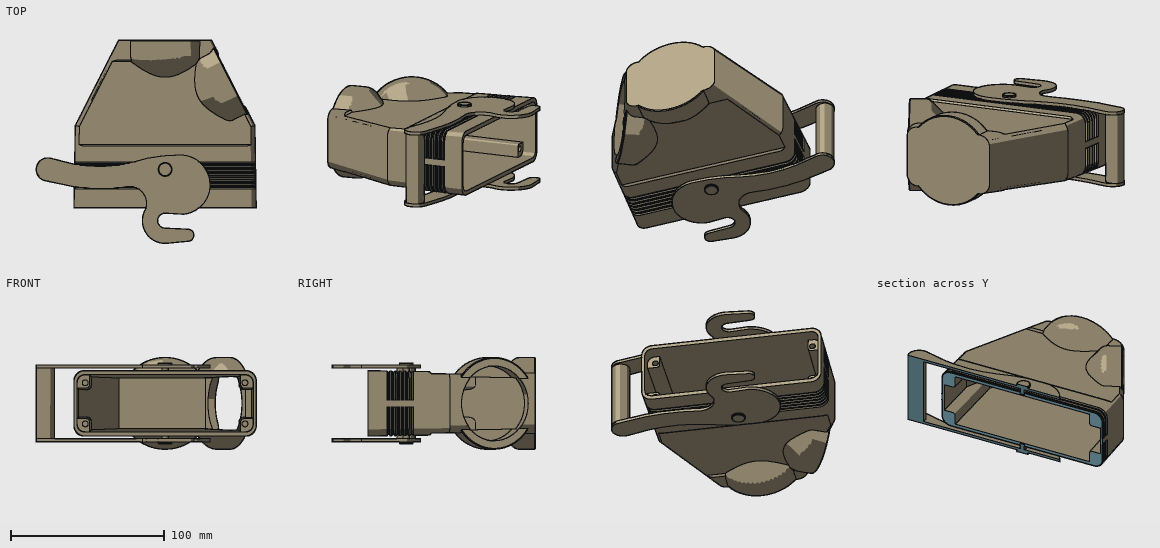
import cadquery as cq
import math

HOUSING_LENGTH = 109.25
MOUTH_HALF_X = 59.5
MOUTH_HALF_Z = 21.4
OUTER_DRAFT = 0.9
CORNER_RADIUS = 6.7
SHOULDER_Y = 53.6
SHOULDER_HALF_X = MOUTH_HALF_X - SHOULDER_Y * math.tan(math.radians(OUTER_DRAFT))
TOP_HALF_X = 30.4
SLOPE_RUN = SHOULDER_HALF_X - TOP_HALF_X
SLOPE_RISE = HOUSING_LENGTH - SHOULDER_Y
SLOPE_ANGLE = math.atan2(SLOPE_RUN, SLOPE_RISE)

RECESS_START_Y = 40.2
RECESS_END_Y = 96.5
RECESS_RAMP = 1.2
RECESS_DEPTH = 1.3

GROOVE_COUNT = 6
GROOVE_PITCH = 3.03
FIRST_GROOVE_Y = 12.4
GROOVE_DEPTH = 0.8
GROOVE_SIDE_ANGLE = 45
GROOVE_FLOOR = 0.6
GROOVE_GAP_HALF_Z = 2.3

BOSS_RADIUS = 30.0
BOSS_CONE_START = 12.9
BOSS_CONE_TIP_RADIUS = 17.0
BOSS_EDGE_RADIUS = 6.1
BOSS_CHAMFER = 0.6
SIDE_BOSS_OFFSET = 1.6
SIDE_BOSS_SETBACK = 0.8
CABLE_HOLE_RADIUS = 24.4

CAVITY_HALF_X = 57.5
CAVITY_HALF_Z = 18.7
CAVITY_CORNER_RADIUS = 5.0
CAVITY_DRAFT = 1.2
END_WALL = 4.0
PLAIN_SHOULDER_WALL = 2.0
BORED_SHOULDER_WALL = 5.4
LEDGE_Y = 54.0

POST_FRONT_Y = 9.0
POST_INNER_X = 49.3
POST_INNER_Z = 10.0
POST_EDGE_RADIUS = 2.0
POST_SIZE = 14.0
SCREW_X = 52.1
SCREW_Z = 13.4
SCREW_HOLE_RADIUS = 1.9
SCREW_HOLE_DEPTH = 12.0

PIVOT_Y = 25.0
PLATE_INNER_Z = 23.0
PLATE_THICKNESS = 2.1
PLATE_OUTER_Z = PLATE_INNER_Z + PLATE_THICKNESS
PIN_RADIUS = 2.15
PIN_END_Z = 19.5
PIN_HEAD_RADIUS = 4.5
PIN_HEAD_HEIGHT = 1.3
PIN_HEAD_CHAMFER = 0.4
GRIP_RADIUS = 6.0
GRIP_X = -78.1
HANDLE_END_RADIUS = 7.6
HANDLE_END = (-76.5, PIVOT_Y)
CAM_CENTRE = (10.0, 15.0)
CAM_RADIUS = 19.4
HOOK_CENTRE = (0.0, -8.4)
HOOK_RADIUS = 14.9
SLOT_RADIUS = 4.8
HOOK_TIP_CENTRE = (14.8, -17.9)
HOOK_TIP_RADIUS = 4.0
UPPER_EDGE_START = (-59.8, 28.6)
UPPER_EDGE_DIP = (-43.6, 26.9)
UPPER_EDGE_TURN = (-21.3, 29.7)
UPPER_EDGE_SHOULDER = (-8.3, 32.9)
LOWER_EDGE_START = (-59.8, 13.7)
LOWER_EDGE_DIP = (-42.5, 12.4)
LOWER_EDGE_TURN = (-23.0, 13.8)
HOOK_NECK = (-13.7, 8.6)
HANDLE_END_ARC = (76, 180, 257)
CAM_ARC = (93, 0, -84)
SLOT_ARC = (90, 180, 270)
HOOK_TIP_ARC = (85, 0, -84)
HOOK_ARC = (-88, 210, 148)

BIG = 200.0


def on_circle(centre, radius, degrees):
    angle = math.radians(degrees)
    return (centre[0] + radius * math.cos(angle), centre[1] + radius * math.sin(angle))


def section_at(y):
    """Workplane across the housing at the given Y, extruding toward +Y."""
    return cq.Workplane(cq.Plane(origin=(0, y, 0), xDir=(1, 0, 0), normal=(0, 1, 0)))


def outer_half_sizes(y):
    lean = y * math.tan(math.radians(OUTER_DRAFT))
    return MOUTH_HALF_X - lean, MOUTH_HALF_Z - lean


def shoulder_x(y, wall):
    """X of the shoulder line at the given Y, moved inward by a wall thickness."""
    return TOP_HALF_X + (HOUSING_LENGTH - y) * math.tan(SLOPE_ANGLE) - wall / math.cos(SLOPE_ANGLE)


def shoulder_y(x, wall):
    """Y of the shoulder line at the given X, moved inward by a wall thickness."""
    return HOUSING_LENGTH - (x - TOP_HALF_X + wall / math.cos(SLOPE_ANGLE)) / math.tan(SLOPE_ANGLE)


def prism(outline):
    return cq.Workplane("XY").polyline(outline).close().extrude(BIG, both=True)


def make_shell_blank():
    """Drafted block with sloping shoulders and rounded long edges, not yet hollow."""
    block = section_at(0).rect(2 * MOUTH_HALF_X, 2 * MOUTH_HALF_Z)
    block = block.extrude(HOUSING_LENGTH, taper=OUTER_DRAFT)
    foot = (MOUTH_HALF_X, shoulder_y(MOUTH_HALF_X, 0))
    top = (TOP_HALF_X, HOUSING_LENGTH)
    outline = [(-MOUTH_HALF_X, 0), (MOUTH_HALF_X, 0), foot, top, (-top[0], top[1]), (-foot[0], foot[1])]
    blank = block.intersect(prism(outline))
    return blank.edges("not #Y").fillet(CORNER_RADIUS)


def make_recess():
    """Both recess cutters; their floors follow the draft of the broad faces."""
    start_z = outer_half_sizes(RECESS_START_Y)[1]
    end_z = outer_half_sizes(RECESS_END_Y)[1]
    cutter = (
        cq.Workplane("YZ")
        .moveTo(RECESS_START_Y, start_z)
        .lineTo(RECESS_START_Y + RECESS_RAMP, start_z - RECESS_DEPTH)
        .lineTo(RECESS_END_Y - RECESS_RAMP, end_z - RECESS_DEPTH)
        .lineTo(RECESS_END_Y, end_z)
        .lineTo(RECESS_END_Y, start_z)
        .close()
        .extrude(MOUTH_HALF_X, both=True)
    )
    return cutter.union(cutter.mirror("XY"))


def make_groove(y):
    """V groove with a narrow flat floor, running round the housing from y toward +Y."""
    half_x, half_z = outer_half_sizes(y)
    width = 2 * GROOVE_DEPTH + GROOVE_FLOOR

    def ring_core(start, inset, length, taper):
        radius = CORNER_RADIUS - inset
        outline = cq.Sketch().rect(2 * (half_x - inset), 2 * (half_z - inset)).vertices().fillet(radius)
        return section_at(start).placeSketch(outline).extrude(length, taper=taper)

    core = ring_core(y, 0, GROOVE_DEPTH, GROOVE_SIDE_ANGLE)
    core = core.union(ring_core(y + GROOVE_DEPTH, GROOVE_DEPTH, GROOVE_FLOOR, 0))
    rise_y = y + GROOVE_DEPTH + GROOVE_FLOOR
    core = core.union(ring_core(rise_y, GROOVE_DEPTH, GROOVE_DEPTH, -GROOVE_SIDE_ANGLE))
    ring = section_at(y).rect(BIG, BIG).extrude(width).cut(core)
    gap = section_at(y).rect(BIG, 2 * GROOVE_GAP_HALF_Z).extrude(width)
    return ring.cut(gap)


def make_boss():
    """Boss of revolution: its outer end at the origin, its cone pointing along -Y."""
    cone_depth = BOSS_CONE_START + BOSS_RADIUS - BOSS_CONE_TIP_RADIUS
    boss = (
        cq.Workplane("XY")
        .polyline([
            (0, 0),
            (BOSS_RADIUS - BOSS_CHAMFER, 0),
            (BOSS_RADIUS, -BOSS_CHAMFER),
            (BOSS_RADIUS, -BOSS_CONE_START),
            (BOSS_CONE_TIP_RADIUS, -cone_depth),
            (0, -cone_depth),
        ])
        .close()
        .revolve(360, (0, 0, 0), (0, 1, 0))
    )
    cone_rim = cq.selectors.NearestToPointSelector((0, -BOSS_CONE_START, 0))
    return boss.edges(cone_rim).fillet(BOSS_EDGE_RADIUS)


def on_bored_shoulder(shape):
    """Move a shape from the origin to the side boss, its +Y turned along the shoulder normal."""
    middle_x = (SHOULDER_HALF_X + TOP_HALF_X) / 2
    middle_y = (HOUSING_LENGTH + SHOULDER_Y) / 2
    x = middle_x - SIDE_BOSS_OFFSET * math.sin(SLOPE_ANGLE)
    y = middle_y + SIDE_BOSS_OFFSET * math.cos(SLOPE_ANGLE)
    turn = math.degrees(SLOPE_ANGLE) - 90
    return shape.rotate((0, 0, 0), (0, 0, 1), turn).translate((x, y, 0))


def make_post(side_x, side_z):
    """Drafted screw post for one cavity corner, with a blind screw hole."""
    centre_x = side_x * (POST_INNER_X + POST_SIZE / 2)
    centre_z = side_z * (POST_INNER_Z + POST_SIZE / 2)
    outline = cq.Sketch().rect(POST_SIZE, POST_SIZE).vertices().fillet(POST_EDGE_RADIUS)
    post = section_at(POST_FRONT_Y).placeSketch(outline).extrude(HOUSING_LENGTH, taper=-CAVITY_DRAFT)
    hole = section_at(POST_FRONT_Y).circle(SCREW_HOLE_RADIUS).extrude(SCREW_HOLE_DEPTH)
    post = post.translate((centre_x, 0, centre_z))
    return post.cut(hole.translate((side_x * SCREW_X, 0, side_z * SCREW_Z)))


def make_cavity():
    mouth = cq.Sketch().rect(2 * CAVITY_HALF_X, 2 * CAVITY_HALF_Z).vertices().fillet(CAVITY_CORNER_RADIUS)
    cavity = section_at(0).placeSketch(mouth).extrude(HOUSING_LENGTH, taper=CAVITY_DRAFT)
    roof_y = HOUSING_LENGTH - END_WALL
    cavity = cavity.intersect(prism([
        (-CAVITY_HALF_X, 0),
        (CAVITY_HALF_X, 0),
        (CAVITY_HALF_X, LEDGE_Y),
        (shoulder_x(LEDGE_Y, BORED_SHOULDER_WALL), LEDGE_Y),
        (shoulder_x(roof_y, BORED_SHOULDER_WALL), roof_y),
        (-shoulder_x(roof_y, PLAIN_SHOULDER_WALL), roof_y),
        (-CAVITY_HALF_X, shoulder_y(CAVITY_HALF_X, PLAIN_SHOULDER_WALL)),
    ]))
    for side_x in (-1, 1):
        for side_z in (-1, 1):
            cavity = cavity.cut(make_post(side_x, side_z))
    return cavity


def make_housing():
    housing = make_shell_blank().cut(make_recess())
    for index in range(GROOVE_COUNT):
        housing = housing.cut(make_groove(FIRST_GROOVE_Y + index * GROOVE_PITCH))
    side_boss = make_boss().translate((0, -SIDE_BOSS_SETBACK, 0))
    end_boss = make_boss().translate((0, HOUSING_LENGTH, 0))
    housing = housing.union(end_boss).union(on_bored_shoulder(side_boss))
    housing = housing.cut(make_cavity())
    bore = cq.Workplane("XZ").circle(CABLE_HOLE_RADIUS).extrude(2 * BORED_SHOULDER_WALL, both=True)
    return housing.cut(on_bored_shoulder(bore))


def make_plate():
    """One lever plate: handle, cam disc and hook."""

    def arc_points(centre, radius, directions):
        return [on_circle(centre, radius, degrees) for degrees in directions]

    handle_top, handle_tip, handle_bottom = arc_points(HANDLE_END, HANDLE_END_RADIUS, HANDLE_END_ARC)
    cam_start, cam_middle, cam_end = arc_points(CAM_CENTRE, CAM_RADIUS, CAM_ARC)
    slot_start, slot_middle, slot_end = arc_points(HOOK_CENTRE, SLOT_RADIUS, SLOT_ARC)
    tip_start, tip_middle, tip_end = arc_points(HOOK_TIP_CENTRE, HOOK_TIP_RADIUS, HOOK_TIP_ARC)
    hook_start, hook_middle, hook_end = arc_points(HOOK_CENTRE, HOOK_RADIUS, HOOK_ARC)
    return (
        cq.Workplane("XY", origin=(0, 0, PLATE_INNER_Z))
        .moveTo(*handle_top)
        .lineTo(*UPPER_EDGE_START)
        .threePointArc(UPPER_EDGE_DIP, UPPER_EDGE_TURN)
        .threePointArc(UPPER_EDGE_SHOULDER, cam_start)
        .threePointArc(cam_middle, cam_end)
        .lineTo(*slot_start)
        .threePointArc(slot_middle, slot_end)
        .lineTo(*tip_start)
        .threePointArc(tip_middle, tip_end)
        .lineTo(*hook_start)
        .threePointArc(hook_middle, hook_end)
        .threePointArc(HOOK_NECK, LOWER_EDGE_TURN)
        .threePointArc(LOWER_EDGE_DIP, LOWER_EDGE_START)
        .lineTo(*handle_bottom)
        .threePointArc(handle_tip, handle_top)
        .close()
        .extrude(PLATE_THICKNESS)
    )


def make_pin():
    """Pivot pin: the shank enters the housing wall, the head sits on the outside of the plate."""
    shank = cq.Workplane("XY", origin=(0, PIVOT_Y, PIN_END_Z)).circle(PIN_RADIUS)
    shank = shank.extrude(PLATE_OUTER_Z - PIN_END_Z)
    head = cq.Workplane("XY", origin=(0, PIVOT_Y, PLATE_OUTER_Z)).circle(PIN_HEAD_RADIUS)
    head = head.extrude(PIN_HEAD_HEIGHT).faces(">Z").edges().chamfer(PIN_HEAD_CHAMFER)
    return shank.union(head)


def make_lever():
    """Two mirrored plates with their pivot pins, joined by the round grip bar."""
    side = make_plate().union(make_pin())
    grip = cq.Workplane("XY", origin=(GRIP_X, PIVOT_Y, 0)).circle(GRIP_RADIUS)
    grip = grip.extrude(PLATE_INNER_Z, both=True)
    return grip.union(side).union(side.mirror("XY"))


lever = make_lever()
housing = make_housing().cut(lever)

result = cq.Compound.makeCompound([housing.val(), lever.val()])